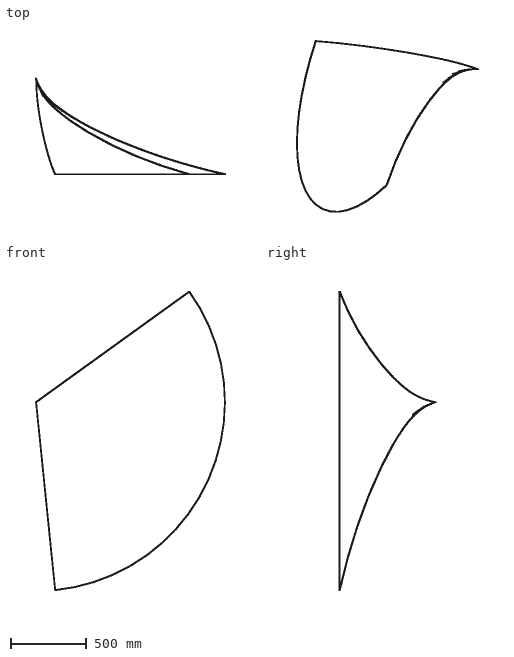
import cadquery as cq

rim_radius = 1249.0
height = 635.0
thickness = 3.0
sector_above = 35.8
sector_below = 84.2

flare_points = [(57.0, 107.0), (200.0, 229.0), (415.0, 350.0), (700.0, 472.0), (988.0, 566.0)]


def profile_curve(tip_y, rim_y):
    """Points from the tip on the axis out to the rim."""
    middle = [(radius, tip_y - drop) for radius, drop in flare_points]
    return [(0, tip_y)] + middle + [(rim_radius, rim_y)]


outer_curve = profile_curve(height, thickness)
inner_curve = profile_curve(height - thickness, 0)

section = (
    cq.Workplane("XY")
    .moveTo(*outer_curve[0])
    .spline(outer_curve[1:], includeCurrent=True)
    .lineTo(*inner_curve[-1])
    .spline(inner_curve[-2::-1], includeCurrent=True)
    .close()
)

sweep_angle = sector_above + sector_below
shell = section.revolve(sweep_angle, (0, 0, 0), (0, -1, 0))
result = shell.rotate((0, 0, 0), (0, 1, 0), sector_below)